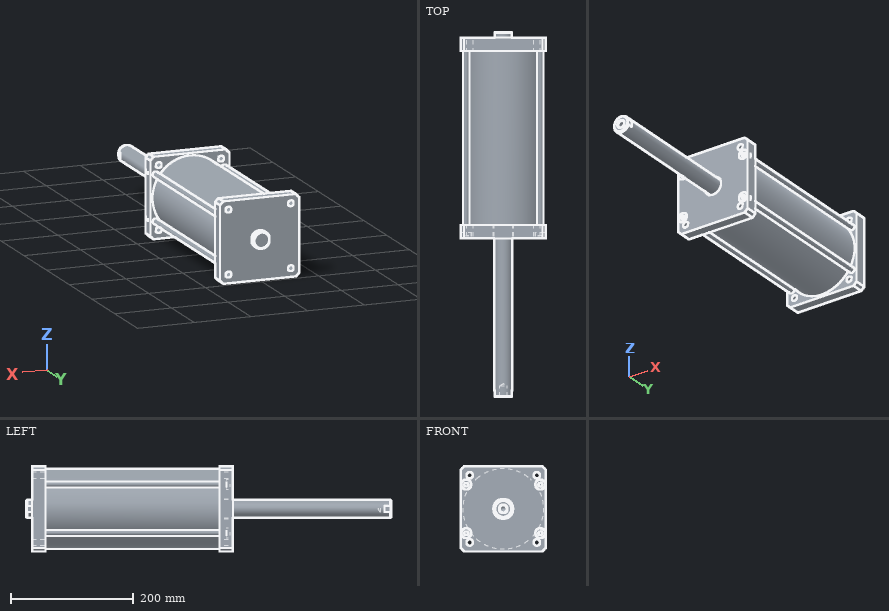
import cadquery as cq
import math


total_length = 598.0
rod_front_reach = 259.5
rod_rear_reach = 9.5
plate_thickness = 22.0

rod_front_y = -total_length / 2
rod_rear_y = total_length / 2
front_face_y = rod_front_y + rod_front_reach
rear_face_y = rod_rear_y - rod_rear_reach
front_inner_y = front_face_y + plate_thickness
rear_inner_y = rear_face_y - plate_thickness

plate_side = 140.0
plate_corner_chamfer = 6.0
mount_hole_pitch = 110.0
mount_hole_diameter = 10.0

barrel_diameter = 132.0
tie_rod_diameter = 10.0
tie_rod_pitch_x = 121.5
tie_rod_pitch_z = 79.5

counterbore_diameter = 17.0
counterbore_depth = 10.0
screw_head_diameter = 16.0
socket_across_flats = 6.0
socket_depth = 5.0

rod_diameter = 30.0
rod_clearance_diameter = 33.0
rod_end_chamfer = 2.0
wrench_across_flats = 28.0
wrench_flat_length = 11.0
center_hole_diameter = 12.0
center_hole_depth = 18.0
countersink_diameter = 14.5
drill_tip_angle = 118.0


def cylinder(diameter, y_start, y_end, x=0.0, z=0.0):
    """Cylinder parallel to Y between two Y positions."""
    base = cq.Vector(x, y_start, z)
    return cq.Workplane(cq.Solid.makeCylinder(diameter / 2, y_end - y_start, base, cq.Vector(0, 1, 0)))


def corner_points(pitch_x, pitch_z):
    return [(sx * pitch_x / 2, sz * pitch_z / 2) for sx in (-1, 1) for sz in (-1, 1)]


def end_plate(y_start):
    """Square plate with chamfered corners and four through mounting holes."""
    plate = (
        cq.Workplane("XY")
        .box(plate_side, plate_thickness, plate_side)
        .edges("|Y")
        .chamfer(plate_corner_chamfer)
        .translate((0, y_start + plate_thickness / 2, 0))
    )
    for x, z in corner_points(mount_hole_pitch, mount_hole_pitch):
        plate = plate.cut(cylinder(mount_hole_diameter, y_start, y_start + plate_thickness, x, z))
    return plate


def screw_head(x, z):
    """Round head with a hexagon socket, its outer face level with the front plate."""
    across_corners = socket_across_flats / math.cos(math.pi / 6)
    socket = (
        cq.Workplane("XZ", origin=(x, front_face_y, z))
        .polygon(6, across_corners)
        .extrude(-socket_depth)
    )
    return cylinder(screw_head_diameter, front_face_y, front_face_y + counterbore_depth, x, z).cut(socket)


def wrench_flats(y_start, y_end):
    """Material to remove on the -X and +X sides of the rod."""
    length = y_end - y_start
    stock = cq.Workplane("XY").box(2 * rod_diameter, length, 2 * rod_diameter)
    core = cq.Workplane("XY").box(wrench_across_flats, length, 2 * rod_diameter)
    return stock.cut(core).translate((0, (y_start + y_end) / 2, 0))


def center_hole():
    """Blind drilled hole with a conical bottom and a countersunk mouth, in the front rod end."""
    hole_radius = center_hole_diameter / 2
    mouth_radius = countersink_diameter / 2
    mouth_depth = mouth_radius - hole_radius
    tip_depth = hole_radius / math.tan(math.radians(drill_tip_angle / 2))
    return (
        cq.Workplane("XY", origin=(0, rod_front_y, 0))
        .polyline([
            (0, 0),
            (mouth_radius, 0),
            (hole_radius, mouth_depth),
            (hole_radius, center_hole_depth),
            (0, center_hole_depth + tip_depth),
        ])
        .close()
        .revolve(360, (0, 0, 0), (0, 1, 0))
    )


def piston_rod():
    """Rod through both plates, with chamfered ends, wrench flats and a front center hole."""
    rod = cylinder(rod_diameter, rod_front_y, rod_rear_y).faces("<Y or >Y").chamfer(rod_end_chamfer)
    rod = rod.cut(wrench_flats(rod_front_y, rod_front_y + wrench_flat_length))
    rod = rod.cut(wrench_flats(rear_face_y, rod_rear_y))
    return rod.cut(center_hole())


front_plate = end_plate(front_face_y).cut(cylinder(rod_clearance_diameter, front_face_y, front_inner_y))
for x, z in corner_points(tie_rod_pitch_x, tie_rod_pitch_z):
    counterbore = cylinder(counterbore_diameter, front_face_y, front_face_y + counterbore_depth, x, z)
    front_plate = front_plate.cut(counterbore).union(screw_head(x, z))

rear_plate = end_plate(rear_inner_y)
barrel = cylinder(barrel_diameter, front_inner_y, rear_inner_y)

result = barrel.union(front_plate).union(rear_plate).union(piston_rod())
for x, z in corner_points(tie_rod_pitch_x, tie_rod_pitch_z):
    result = result.union(cylinder(tie_rod_diameter, front_inner_y, rear_inner_y, x, z))